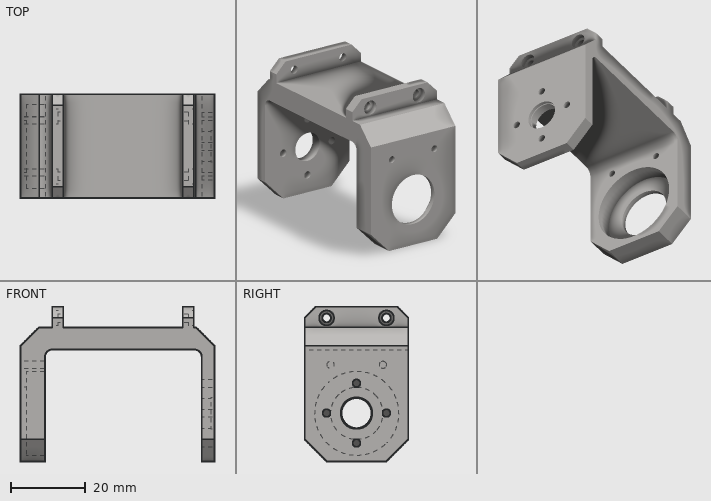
import cadquery as cq

length = 52.0
width = 27.8
height = 41.5

bridge_top = 36.0
bridge_underside = 30.0
left_leg_thickness = 6.6
right_leg_thickness = 3.5
shoulder_chamfer = 5.0
inner_corner_radius = 2.0
leg_end_chamfer = 6.0

tab_thickness = 3.0
left_tab_start = 8.55
right_tab_start = 43.4
tab_corner_chamfer = 3.0
tab_hole_diameter = 2.3
tab_counterbore_diameter = 4.0
tab_counterbore_depth = 1.5
tab_hole_spacing = 16.0
tab_hole_height = height - 3.0

axis_height = 13.0
left_bore_diameter = 14.0
left_recess_diameter = 22.5
left_bore_lip = 1.5
right_bore_diameter = 8.0
right_recess_diameter = 8.5
right_recess_depth = 1.0

left_screw_diameter = 1.9
left_screw_spacing = 14.0
left_screw_height = 26.0
right_screw_diameter = 2.1
right_screw_circle_radius = 8.0

left_face = -length / 2
right_face = length / 2
left_inner_face = left_face + left_leg_thickness
right_inner_face = right_face - right_leg_thickness
left_tab_face = left_face + left_tab_start
right_tab_face = left_face + right_tab_start + tab_thickness


def cylinder_x(diameter, x_start, x_end, y, z):
    """Cylinder along X between two X positions."""
    return cq.Workplane(
        cq.Solid.makeCylinder(
            diameter / 2, x_end - x_start, cq.Vector(x_start, y, z), cq.Vector(1, 0, 0)
        )
    )


def make_frame():
    """Inverted U with sloping shoulders, rounded inner corners and chamfered leg ends."""
    frame = (
        cq.Workplane("XY")
        .box(length, width, bridge_top, centered=(True, True, False))
        .edges("|Y and >Z")
        .chamfer(shoulder_chamfer)
        .edges("|X and <Z")
        .chamfer(leg_end_chamfer)
    )
    opening = (
        cq.Workplane("XY")
        .box(right_inner_face - left_inner_face, width, bridge_underside, centered=(False, True, False))
        .translate((left_inner_face, 0, 0))
        .edges("|Y and >Z")
        .fillet(inner_corner_radius)
    )
    return frame.cut(opening)


def make_tab(x_start):
    """Upright strip across the bridge with chamfered top corners."""
    return (
        cq.Workplane("XY")
        .box(tab_thickness, width, height - bridge_underside, centered=(False, True, False))
        .edges("|X and >Z")
        .chamfer(tab_corner_chamfer)
        .translate((x_start, 0, bridge_underside))
    )


result = make_frame()
for tab_start in (left_tab_start, right_tab_start):
    result = result.union(make_tab(left_face + tab_start))

for y in (-tab_hole_spacing / 2, tab_hole_spacing / 2):
    result = result.cut(cylinder_x(tab_hole_diameter, left_face, right_face, y, tab_hole_height))
    for x_start, x_end in (
        (left_tab_face, left_tab_face + tab_counterbore_depth),
        (right_tab_face - tab_counterbore_depth, right_tab_face),
    ):
        result = result.cut(cylinder_x(tab_counterbore_diameter, x_start, x_end, y, tab_hole_height))

for diameter, x_start, x_end in (
    (left_bore_diameter, left_face, left_inner_face),
    (left_recess_diameter, left_face + left_bore_lip, left_inner_face),
    (right_bore_diameter, right_inner_face, right_face),
    (right_recess_diameter, right_face - right_recess_depth, right_face),
):
    result = result.cut(cylinder_x(diameter, x_start, x_end, 0, axis_height))

for y in (-left_screw_spacing / 2, left_screw_spacing / 2):
    result = result.cut(
        cylinder_x(left_screw_diameter, left_face, left_inner_face, y, left_screw_height)
    )

for y_direction, z_direction in ((1, 0), (0, 1), (-1, 0), (0, -1)):
    y = y_direction * right_screw_circle_radius
    z = axis_height + z_direction * right_screw_circle_radius
    result = result.cut(cylinder_x(right_screw_diameter, right_inner_face, right_face, y, z))